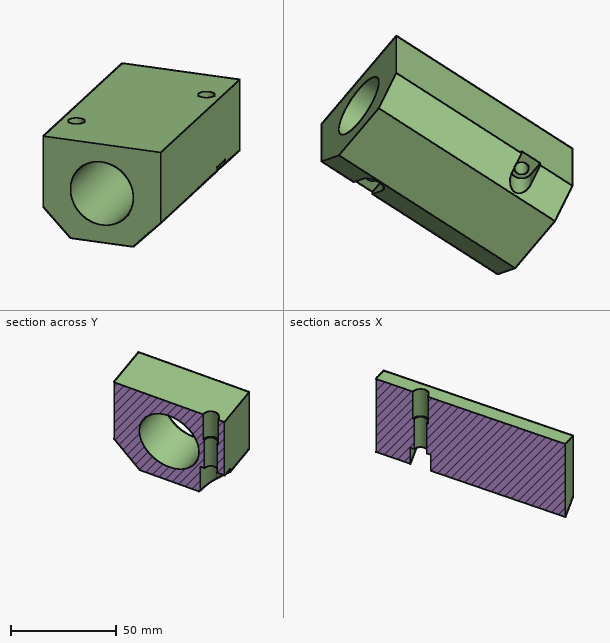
import cadquery as cq
import math

width = 60.0
length = 104.0
height = 50.0
edge_chamfer = 14.0

bore_diameter = 32.0

hole_x = 22.5
hole_y = 27.5
thread_diameter = 8.0
thread_depth = 2 * thread_diameter
core_diameter = 6.8
recess_width = 11.0
recess_top = 16.0


def make_block():
    """Rectangular block with both lower long edges chamfered."""
    block = cq.Workplane("XY").box(width, length, height, centered=(True, True, False))
    return block.faces("<Z").edges("|Y").chamfer(edge_chamfer)


def make_bore():
    """Cylinder along the full length of the block."""
    plane = cq.Workplane("XZ", origin=(0, 0, height / 2))
    return plane.circle(bore_diameter / 2).extrude(length / 2, both=True)


def make_screw_hole(x, y):
    """Through hole, wider at the top, with a U-shaped screw-head recess below.

    The recess has a round inner end and runs out through the nearer long side.
    """
    def cylinder(diameter, bottom, top):
        plane = cq.Workplane("XY", origin=(x, y, bottom))
        return plane.circle(diameter / 2).extrude(top - bottom)

    core = cylinder(core_diameter, 0, height)
    thread = cylinder(thread_diameter, height - thread_depth, height)
    recess_end = cylinder(recess_width, 0, recess_top)
    outer_x = math.copysign(width / 2, x)
    run_out = (
        cq.Workplane("XY", origin=((x + outer_x) / 2, y, 0))
        .rect(abs(outer_x - x), recess_width)
        .extrude(recess_top)
    )
    return core.union(thread).union(recess_end).union(run_out)


result = make_block().cut(make_bore())
for side in (-1, 1):
    result = result.cut(make_screw_hole(side * hole_x, side * hole_y))

result = result.translate((0, 0, -height / 2))